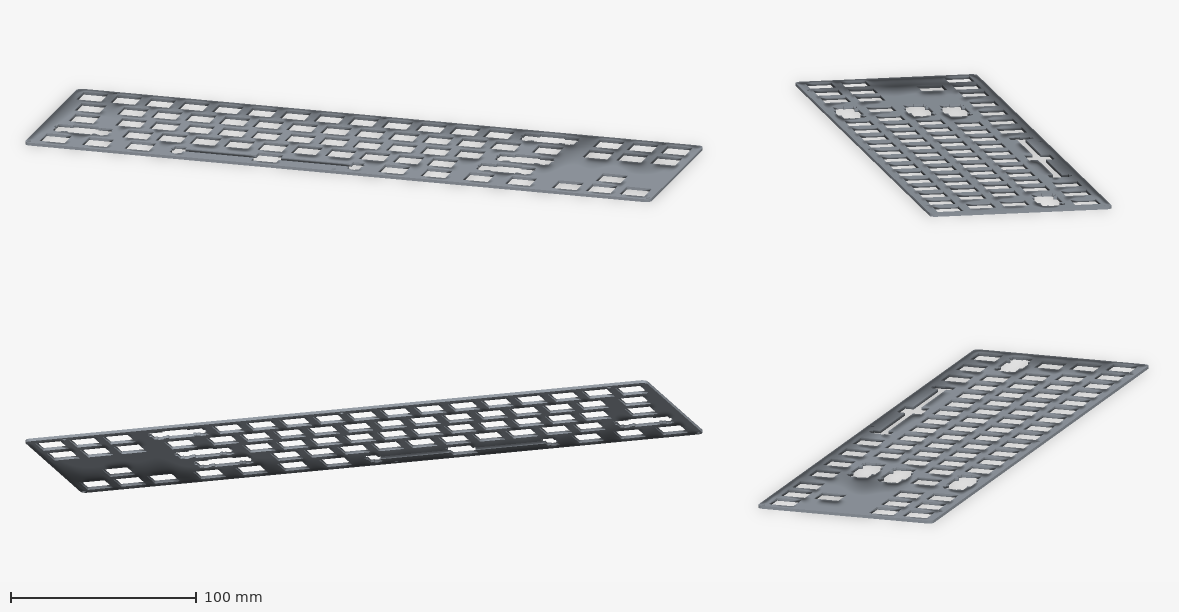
import cadquery as cq

LENGTH = 352.5
WIDTH = 100.0
THICKNESS = 1.6
CORNER_RADIUS = 3.0

KEYS_LONG = 18.25
KEYS_DEEP = 5
EDGE_MARGIN = 0.125
PITCH = LENGTH / (KEYS_LONG + 2 * EDGE_MARGIN)

SWITCH_SIZE = 14.0

STAB_WIDTH = 6.7
STAB_TOP = 5.5
STAB_BOTTOM = -6.0
STAB_NOTCH_DEPTH = 0.85
STAB_NOTCH_TOP = 2.3
STAB_NOTCH_BOTTOM = -0.5
STAB_FOOT_WIDTH = 3.03
STAB_FOOT_DEPTH = 1.2

SHORT_STAB_OFFSET = 12.0
SHORT_BRIDGE_HALF = 5.3
SPACE_STAB_OFFSET = 50.0
SPACE_BRIDGE_HALF = 2.3

HOLE_DIAMETER = 2.2
HOLE_EDGE_GAP = 2.8
BACK_HOLES_X = (-154.5, -2.8, 154.5)
FRONT_HOLES_X = (-174.0, -2.8, 174.0)


def run_of_keys(first, count, step=1.0):
    """Centres, in key pitches from the left of the grid, of evenly spaced keys."""
    return [first + step * i for i in range(count)]


RIGHT_CLUSTER = run_of_keys(15.75, 3)
SWITCH_ROWS = [
    run_of_keys(0.5, 13) + RIGHT_CLUSTER,
    [0.75] + run_of_keys(2.0, 12) + [14.25] + RIGHT_CLUSTER,
    [0.875] + run_of_keys(2.25, 11),
    run_of_keys(2.75, 10) + [16.75],
    run_of_keys(0.625, 3, 1.25) + run_of_keys(10.625, 4, 1.25) + RIGHT_CLUSTER,
]

SHORT_STAB_KEYS = [(0, 14.0), (2, 13.875), (3, 1.125), (3, 13.625)]
SPACE_BAR = (4, 6.875)


def key_position(row, column):
    x = (column - KEYS_LONG / 2) * PITCH
    y = ((KEYS_DEEP - 1) / 2 - row) * PITCH
    return x, y


def box_cut(left, right, bottom, top):
    """Block through the plate between the given sides."""
    return (
        cq.Workplane("XY")
        .center((left + right) / 2, (bottom + top) / 2)
        .rect(right - left, top - bottom)
        .extrude(THICKNESS)
    )


def switch_cut():
    half = SWITCH_SIZE / 2
    return box_cut(-half, half, -half, half)


def stabilizer_cut(offset):
    """Right-hand stabilizer housing: body, side notch and foot."""
    left = offset - STAB_WIDTH / 2
    right = offset + STAB_WIDTH / 2
    foot_half = STAB_FOOT_WIDTH / 2
    body = box_cut(left, right, STAB_BOTTOM, STAB_TOP)
    notch = box_cut(offset, right + STAB_NOTCH_DEPTH, STAB_NOTCH_BOTTOM, STAB_NOTCH_TOP)
    foot = box_cut(offset - foot_half, offset + foot_half, STAB_BOTTOM - STAB_FOOT_DEPTH, STAB_TOP)
    return body.union(notch).union(foot)


def wide_key_cut(offset, bridge_half):
    """Switch opening joined by a bridge to a stabilizer on each side."""
    bridge = box_cut(-offset, offset, -bridge_half, bridge_half)
    right_stab = stabilizer_cut(offset)
    left_stab = right_stab.mirror("YZ")
    return switch_cut().union(bridge).union(right_stab).union(left_stab)


def place(cutter, row, column):
    x, y = key_position(row, column)
    return cutter.translate((x, y, 0))


plate = (
    cq.Workplane("XY")
    .rect(LENGTH, WIDTH)
    .extrude(THICKNESS)
    .edges("|Z")
    .fillet(CORNER_RADIUS)
)

switch_points = [
    key_position(row, column)
    for row, columns in enumerate(SWITCH_ROWS)
    for column in columns
]
plate = plate.cut(
    cq.Workplane("XY")
    .pushPoints(switch_points)
    .rect(SWITCH_SIZE, SWITCH_SIZE)
    .extrude(THICKNESS)
)

short_cut = wide_key_cut(SHORT_STAB_OFFSET, SHORT_BRIDGE_HALF)
for row, column in SHORT_STAB_KEYS:
    plate = plate.cut(place(short_cut, row, column))

space_cut = wide_key_cut(SPACE_STAB_OFFSET, SPACE_BRIDGE_HALF)
plate = plate.cut(place(space_cut, *SPACE_BAR))

hole_points = [(x, WIDTH / 2 - HOLE_EDGE_GAP) for x in BACK_HOLES_X]
hole_points += [(x, HOLE_EDGE_GAP - WIDTH / 2) for x in FRONT_HOLES_X]
holes = (
    cq.Workplane("XY")
    .pushPoints(hole_points)
    .circle(HOLE_DIAMETER / 2)
    .extrude(THICKNESS)
)

result = plate.cut(holes)